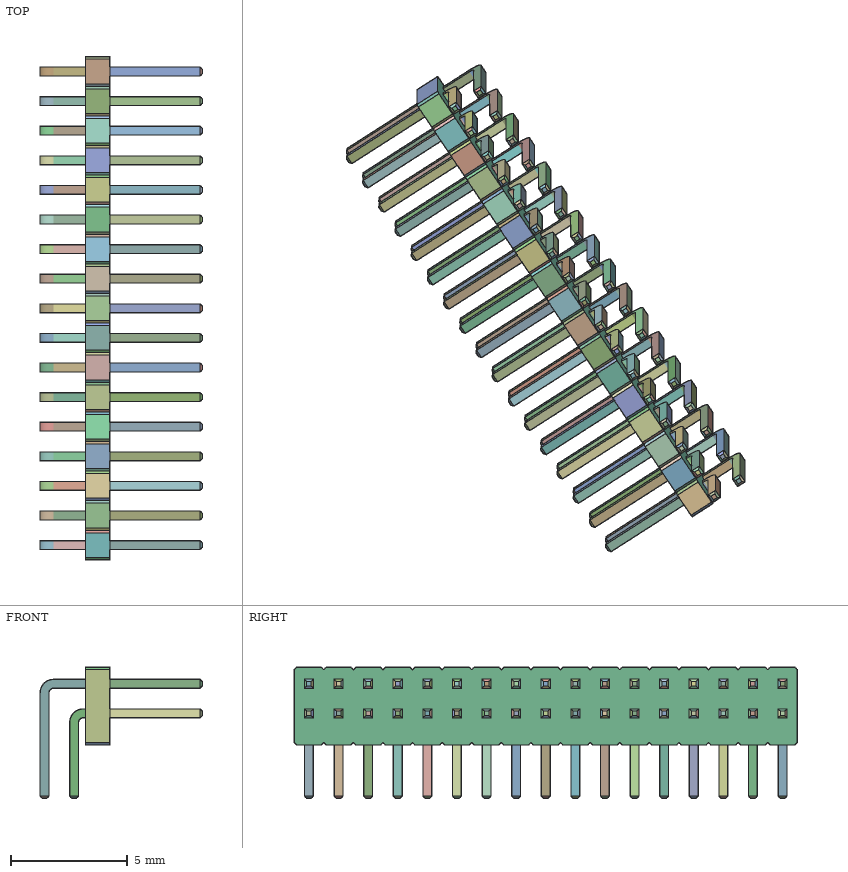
import cadquery as cq

length = 21.6
pin_columns = 17
pitch = length / pin_columns

body_left = 1.95
body_width = 1.05
body_top = 5.63
body_height = 3.35
body_chamfer = 0.1

pin_size = 0.39
pin_reach = 6.97
upper_pin_drop = 0.71
bend_inner_radius = 0.2
bend_outer_radius = bend_inner_radius + pin_size
tip_chamfer = 0.1


def make_body_cell(center_y):
    """One housing cell, with its long top and bottom edges chamfered."""
    cell = cq.Workplane("XY").box(body_width, pitch, body_height, centered=(False, True, False))
    cell = cell.edges("|X").chamfer(body_chamfer)
    return cell.translate((body_left, center_y, body_top - body_height))


def make_pin(left_x, center_z):
    """Right-angle pin: down leg at left_x, horizontal leg centred on center_z."""
    top_z = center_z + pin_size / 2
    pin = (
        cq.Workplane("XZ")
        .moveTo(left_x, 0)
        .lineTo(left_x, top_z)
        .lineTo(pin_reach, top_z)
        .lineTo(pin_reach, top_z - pin_size)
        .lineTo(left_x + pin_size, top_z - pin_size)
        .lineTo(left_x + pin_size, 0)
        .close()
        .extrude(pin_size / 2, both=True)
    )
    inner_corner = (left_x + pin_size, 0, top_z - pin_size)
    outer_corner = (left_x, 0, top_z)
    pin = pin.edges(cq.selectors.NearestToPointSelector(outer_corner)).fillet(bend_outer_radius)
    pin = pin.edges(cq.selectors.NearestToPointSelector(inner_corner)).fillet(bend_inner_radius)
    return pin.faces(">X or <Z").chamfer(tip_chamfer)


upper_pin_z = body_top - upper_pin_drop
long_pin = make_pin(0, upper_pin_z)
short_pin = make_pin(pitch, upper_pin_z - pitch)

result = cq.Workplane("XY")
for column in range(pin_columns):
    column_y = (column - (pin_columns - 1) / 2) * pitch
    result = result.union(make_body_cell(column_y))
    result = result.union(long_pin.translate((0, column_y, 0)))
    result = result.union(short_pin.translate((0, column_y, 0)))
result = result.clean()